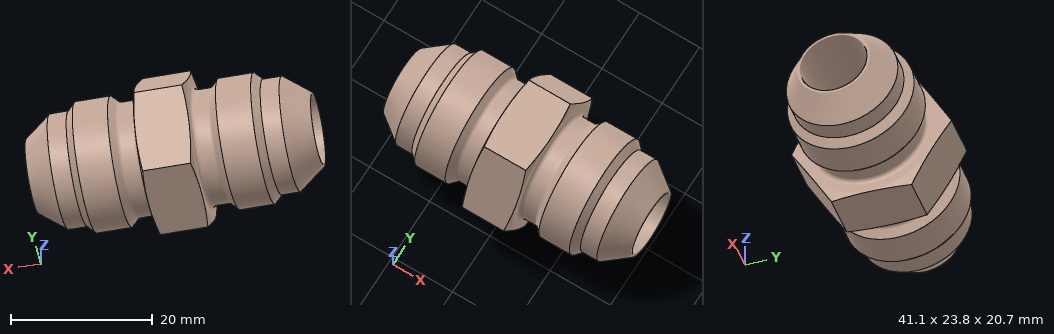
import cadquery as cq
import math

length = 41.15
bore_diameter = 9.9
nose_tip_diameter = 10.82
tip_edge_fillet = 0.1
neck_diameter = 16.62
thread_diameter = 18.9

nose_cone_angle = math.radians(37)
thread_chamfer_start = 6.6
hex_start = 16.65

groove_fillet = 0.65
groove_fillet_start = 14.2
groove_slope_angle = math.radians(45)

hex_across_flats = 20.65
hex_chamfer_diameter = 20.45
hex_chamfer_angle = math.radians(15)

neck_radius = neck_diameter / 2
thread_radius = thread_diameter / 2
hex_across_corners = hex_across_flats / math.cos(math.radians(30))
hex_width = length - 2 * hex_start


def make_end():
    """Solid of revolution from the nose tip at X = -length / 2 up to the hexagon face."""
    tip_x = -length / 2
    tip_radius = nose_tip_diameter / 2
    cone_length = (neck_radius - tip_radius) / math.tan(nose_cone_angle)
    chamfer_x = tip_x + thread_chamfer_start
    chamfer_size = thread_radius - neck_radius
    hex_x = tip_x + hex_start

    floor_x = tip_x + groove_fillet_start
    fillet_y = neck_radius + groove_fillet

    def slope_fillet_point(angle):
        return (floor_x - groove_fillet * math.sin(angle), fillet_y - groove_fillet * math.cos(angle))

    slope_x, slope_radius = slope_fillet_point(groove_slope_angle)
    thread_end_x = slope_x - (thread_radius - slope_radius) / math.tan(groove_slope_angle)

    hex_fillet_x = hex_x - groove_fillet
    hex_fillet_middle = (
        hex_fillet_x + groove_fillet * math.sin(math.radians(45)),
        fillet_y - groove_fillet * math.cos(math.radians(45)),
    )

    profile = (
        cq.Workplane("XY")
        .moveTo(tip_x, 0)
        .lineTo(tip_x, tip_radius)
        .lineTo(tip_x + cone_length, neck_radius)
        .lineTo(chamfer_x, neck_radius)
        .lineTo(chamfer_x + chamfer_size, thread_radius)
        .lineTo(thread_end_x, thread_radius)
        .lineTo(slope_x, slope_radius)
        .threePointArc(slope_fillet_point(groove_slope_angle / 2), (floor_x, neck_radius))
        .lineTo(hex_fillet_x, neck_radius)
        .threePointArc(hex_fillet_middle, (hex_x, fillet_y))
        .lineTo(hex_x, 0)
        .close()
    )
    return profile.revolve(360, (0, 0, 0), (1, 0, 0))


def make_hexagon():
    """Hexagonal prism whose corners are turned down to a shallow cone on both faces."""
    prism = cq.Workplane("YZ").polygon(6, hex_across_corners).extrude(hex_width / 2, both=True)
    face_radius = hex_chamfer_diameter / 2
    corner_radius = hex_across_corners / 2
    chamfer_depth = (corner_radius - face_radius) * math.tan(hex_chamfer_angle)
    half_width = hex_width / 2
    envelope = (
        cq.Workplane("XY")
        .moveTo(-half_width, 0)
        .lineTo(-half_width, face_radius)
        .lineTo(-half_width + chamfer_depth, corner_radius)
        .lineTo(half_width - chamfer_depth, corner_radius)
        .lineTo(half_width, face_radius)
        .lineTo(half_width, 0)
        .close()
        .revolve(360, (0, 0, 0), (1, 0, 0))
    )
    return prism.intersect(envelope)


end = make_end()
body = make_hexagon().union(end).union(end.mirror("YZ"))
bore = cq.Workplane("YZ").circle(bore_diameter / 2).extrude(length / 2, both=True)
result = body.cut(bore)

result = result.faces("<X or >X").edges().fillet(tip_edge_fillet)